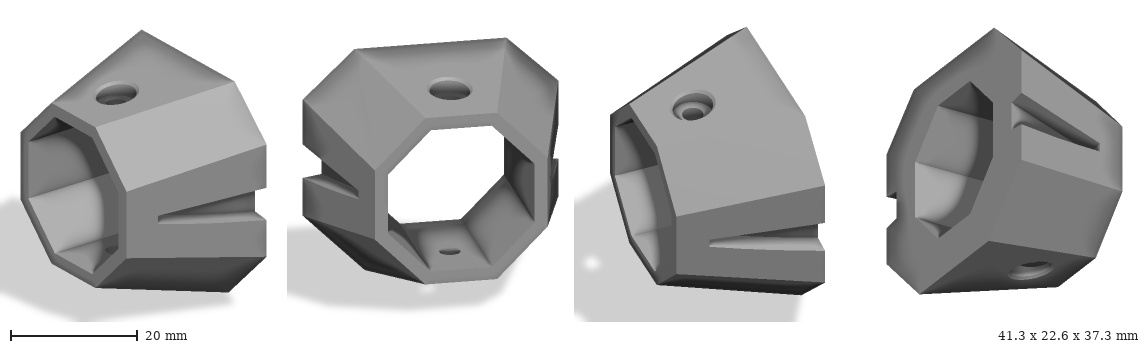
import cadquery as cq
import math

length = 22.6
small_end_half = 13.95
bore_half = 11.85

large_half_width = 20.65
large_top = 18.05
large_bottom = -19.2
large_top_half_edge = 12.25
large_bottom_half_edge = 10.6
large_side_top = 10.2
large_side_bottom = -9.3

hole_from_small_end = 8.45
hole_diameter = 3.4
seat_diameter = 6.4
seat_floor = 13.58
seat_chamfer = 0.4

slot_start = 5.08
slot_depth = 3.05
slot_start_z = (-0.7, 0.75)
slot_middle_z = (-2.02, 1.7)
slot_end_z = (-2.95, 2.7)
slot_wall_draft = 0.4


def octagon(half, y):
    """Regular octagonal wire across the Y axis, with the given half width across flats."""
    edge = half * math.tan(math.pi / 8)
    return outline(y, half, half, -half, edge, edge, edge, -edge)


def outline(y, half_width, top, bottom, top_edge, bottom_edge, side_top, side_bottom):
    """Eight-sided wire, symmetric about X = 0, in the plane at the given Y."""
    right = [
        (top_edge, top),
        (half_width, side_top),
        (half_width, side_bottom),
        (bottom_edge, bottom),
    ]
    left = [(-x, z) for x, z in reversed(right)]
    return cq.Wire.makePolygon([cq.Vector(x, y, z) for x, z in right + left], close=True)


def make_body():
    large_end = outline(
        length, large_half_width, large_top, large_bottom,
        large_top_half_edge, large_bottom_half_edge, large_side_top, large_side_bottom,
    )
    shell = cq.Solid.makeLoft([octagon(small_end_half, 0), large_end], True)
    bore = cq.Solid.extrudeLinear(octagon(bore_half, 0), [], cq.Vector(0, length, 0))
    return cq.Workplane(shell).cut(cq.Workplane(bore))


def make_screw_seat(direction):
    """Flat-bottomed seat opening upward (direction 1) or downward (direction -1)."""
    floor_center = cq.Vector(0, hole_from_small_end, direction * seat_floor)
    axis = cq.Vector(0, 0, direction)
    return cq.Workplane(cq.Solid.makeCylinder(seat_diameter / 2, large_top, floor_center, axis))


def seat_mouth_edges(direction):
    """Selector for the rim where a screw seat meets the sloping outer face."""
    margin = 0.4
    reach = seat_diameter / 2 + margin
    inner_z = direction * (seat_floor + margin)
    outer_z = direction * -large_bottom
    return cq.selectors.BoxSelector(
        (-reach, hole_from_small_end - reach, inner_z),
        (reach, hole_from_small_end + reach, outer_z),
    )


def make_screw_hole():
    start = cq.Vector(0, hole_from_small_end, large_bottom)
    height = large_top - large_bottom
    return cq.Workplane(cq.Solid.makeCylinder(hole_diameter / 2, height, start, cq.Vector(0, 0, 1)))


def make_slot(side):
    """Slot on the +X (side 1) or -X (side -1) face; its floor is parallel to that face."""
    slope = (large_half_width - small_end_half) / length

    def section(y, z_range):
        bottom, top = z_range
        face_x = small_end_half + slope * y
        floor_x = face_x - slot_depth
        mouth_x = face_x + slot_depth
        points = [
            (floor_x, bottom + slot_wall_draft),
            (floor_x, top - slot_wall_draft),
            (mouth_x, top + slot_wall_draft),
            (mouth_x, bottom - slot_wall_draft),
        ]
        return cq.Wire.makePolygon([cq.Vector(side * x, y, z) for x, z in points], close=True)

    wires = [
        section(slot_start, slot_start_z),
        section((slot_start + length) / 2, slot_middle_z),
        section(length, slot_end_z),
    ]
    return cq.Workplane(cq.Solid.makeLoft(wires))


result = make_body().cut(make_screw_hole())
for direction in (1, -1):
    result = result.cut(make_screw_seat(direction))
    result = result.edges(seat_mouth_edges(direction)).chamfer(seat_chamfer)
for side in (1, -1):
    result = result.cut(make_slot(side))